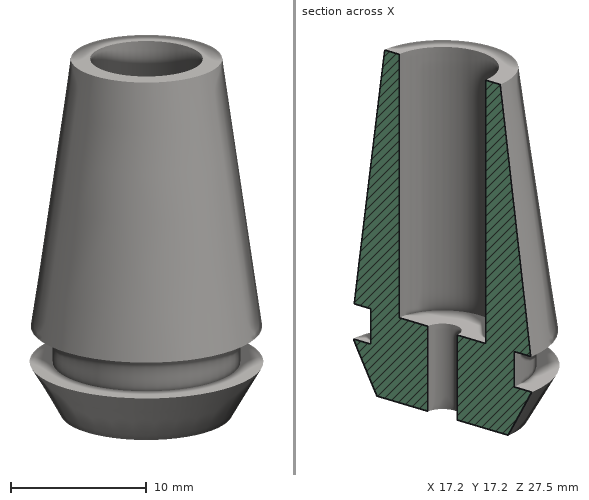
import cadquery as cq

total_height = 27.5
flange_height = 4.0
groove_width = 2.75
cone_base_z = flange_height + groove_width

nose_diameter = 12.65
flange_diameter = 17.25
groove_diameter = 13.83
cone_base_diameter = 17.05
cone_top_diameter = 11.16

bore_diameter = 8.3
hole_diameter = 2.8
bore_floor_z = cone_base_z


def revolved_body():
    """Solid collet: tapered nose, neck groove and long upper cone."""
    return (
        cq.Workplane("XZ")
        .moveTo(0, 0)
        .lineTo(nose_diameter / 2, 0)
        .lineTo(flange_diameter / 2, flange_height)
        .lineTo(groove_diameter / 2, flange_height)
        .lineTo(groove_diameter / 2, cone_base_z)
        .lineTo(cone_base_diameter / 2, cone_base_z)
        .lineTo(cone_top_diameter / 2, total_height)
        .lineTo(0, total_height)
        .close()
        .revolve(360, (0, 0), (0, 1))
    )


def stepped_bore():
    """Wide bore from the top, continued through the bottom by a small hole."""
    wide_bore = (
        cq.Workplane("XY", origin=(0, 0, bore_floor_z))
        .circle(bore_diameter / 2)
        .extrude(total_height - bore_floor_z)
    )
    small_hole = cq.Workplane("XY").circle(hole_diameter / 2).extrude(total_height)
    return wide_bore.union(small_hole)


result = revolved_body().cut(stepped_bore())